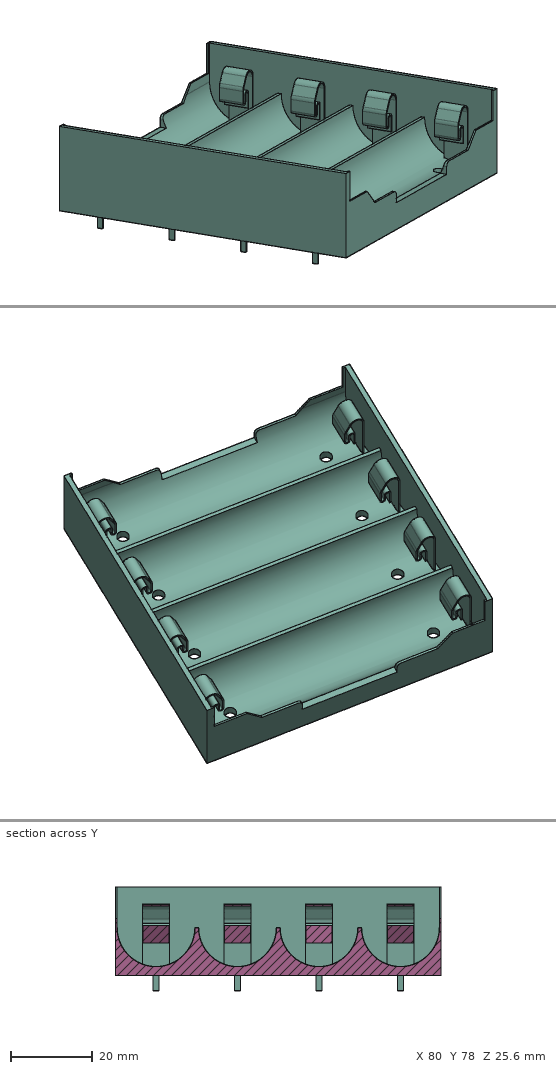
import cadquery as cq
import math

LENGTH_X = 80.0
LENGTH_Y = 78.0
WALL_HEIGHT = 21.8
END_WALL = 1.4
CELL_COUNT = 4
CELL_PITCH = LENGTH_X / CELL_COUNT
TROUGH_RADIUS = 9.5
TROUGH_FLOOR = 2.2
TROUGH_AXIS_Z = TROUGH_FLOOR + TROUGH_RADIUS
DIVIDER_HEIGHT = TROUGH_AXIS_Z
DRAIN_DIAMETER = 3.0
DRAIN_OFFSET = 27.8

SHOULDER_Z = 14.1
LEDGE_Z = 10.1
NOTCH_Z = 7.0
SHOULDER_OUTER_Y = 37.0
SHOULDER_INNER_Y = 28.1
LEDGE_OUTER_Y = 24.0
NOTCH_HALF_WIDTH = 13.0
NOTCH_ROUNDING = 1.2

STRIP_WIDTH = 6.6
STRIP_THICKNESS = 0.4
LEG_SETBACK = 2.7
LEG_Y = LENGTH_Y / 2 - LEG_SETBACK
ARCH_RADIUS = 1.8
ARCH_CENTER_Z = 15.5
RAMP_TILT = math.radians(28)
FACE_REACH = 5.0
BEND_RADIUS = 2.0
CURL_RADIUS = 0.6
CURL_CENTER_Z = 10.1
HOOK_RADIUS = 0.7
HOOK_CENTER_Z = 11.8
HOOK_END_Z = 8.0
PIN_WIDTH = 1.5
PIN_LENGTH = 3.8
PIN_TIP_ROUNDING = 0.3

CELL_XS = [(i - (CELL_COUNT - 1) / 2) * CELL_PITCH for i in range(CELL_COUNT)]
CAVITY_Y = LENGTH_Y - 2 * END_WALL


def box_on(z_bottom, size_x, size_y, size_z, y=0.0):
    """Box centred on X = 0 and the given Y, standing on z_bottom."""
    box = cq.Workplane("XY").box(size_x, size_y, size_z, centered=(True, True, False))
    return box.translate((0, y, z_bottom))


def make_trough():
    """Cell-shaped space: round bottom, straight sides, open at the top."""
    round_bottom = (
        cq.Workplane("XZ", origin=(0, CAVITY_Y / 2, TROUGH_AXIS_Z)).circle(TROUGH_RADIUS).extrude(CAVITY_Y)
    )
    return round_bottom.union(box_on(TROUGH_AXIS_Z, 2 * TROUGH_RADIUS, CAVITY_Y, WALL_HEIGHT))


def make_side_wall_opening():
    """Space above the stepped upper edge of a side wall, reaching half a cell to both sides of X = 0."""
    plus_y_edge = [
        (NOTCH_HALF_WIDTH + NOTCH_ROUNDING, LEDGE_Z),
        (LEDGE_OUTER_Y, LEDGE_Z),
        (SHOULDER_INNER_Y, SHOULDER_Z),
        (SHOULDER_OUTER_Y, SHOULDER_Z),
        (SHOULDER_OUTER_Y, WALL_HEIGHT),
    ]
    minus_y_edge = [(-y, z) for y, z in reversed(plus_y_edge)]
    rounding_end_z = LEDGE_Z - NOTCH_ROUNDING
    rounding_bulge = NOTCH_ROUNDING * (1 - math.sqrt(0.5))
    return (
        cq.Workplane("YZ")
        .moveTo(-NOTCH_HALF_WIDTH, NOTCH_Z)
        .lineTo(NOTCH_HALF_WIDTH, NOTCH_Z)
        .lineTo(NOTCH_HALF_WIDTH, rounding_end_z)
        .threePointArc((NOTCH_HALF_WIDTH + rounding_bulge, LEDGE_Z - rounding_bulge), plus_y_edge[0])
        .polyline(plus_y_edge[1:] + minus_y_edge, includeCurrent=True)
        .threePointArc(
            (-NOTCH_HALF_WIDTH - rounding_bulge, LEDGE_Z - rounding_bulge),
            (-NOTCH_HALF_WIDTH, rounding_end_z),
        )
        .close()
        .extrude(CELL_PITCH / 2, both=True)
    )


def make_contact_seat():
    """Recess in the trough floor for the leg of a contact, and the slot for its pin."""
    leg_recess = box_on(TROUGH_FLOOR, STRIP_WIDTH, STRIP_THICKNESS, TROUGH_RADIUS, LEG_Y)
    pin_slot = box_on(0, PIN_WIDTH, STRIP_THICKNESS, TROUGH_FLOOR, LEG_Y)
    return leg_recess.union(pin_slot)


def make_housing():
    body = box_on(0, LENGTH_X, LENGTH_Y, WALL_HEIGHT)
    divider_span = 2 * CELL_XS[-1]
    body = body.cut(box_on(DIVIDER_HEIGHT, divider_span, CAVITY_Y, WALL_HEIGHT))
    opening = make_side_wall_opening()
    for side in (-1, 1):
        body = body.cut(opening.translate((side * LENGTH_X / 2, 0, 0)))
    trough = make_trough()
    drain = cq.Workplane("XY").circle(DRAIN_DIAMETER / 2).extrude(TROUGH_AXIS_Z)
    seat = make_contact_seat()
    for x in CELL_XS:
        body = body.cut(trough.translate((x, 0, 0)))
        for turn in (0, 180):
            end_cut = seat.union(drain.translate((0, DRAIN_OFFSET, 0)))
            body = body.cut(end_cut.rotate((0, 0, 0), (0, 0, 1), turn).translate((x, 0, 0)))
    return body.solids()


def make_contact():
    """Contact for the +Y end of a trough at X = 0; it faces -Y."""
    sin_tilt = math.sin(RAMP_TILT)
    cos_tilt = math.cos(RAMP_TILT)
    arch_center_y = LEG_Y - ARCH_RADIUS
    arch_end = (arch_center_y - ARCH_RADIUS * cos_tilt, ARCH_CENTER_Z + ARCH_RADIUS * sin_tilt)
    face_y = LEG_Y - FACE_REACH
    ramp_end_y = face_y + BEND_RADIUS * (1 - cos_tilt)
    ramp_end_z = arch_end[1] - (arch_end[0] - ramp_end_y) / math.tan(RAMP_TILT)
    bend_end_z = ramp_end_z - BEND_RADIUS * sin_tilt
    hook_start_y = face_y + 2 * CURL_RADIUS
    hook_end_y = hook_start_y + 2 * HOOK_RADIUS
    path = (
        cq.Workplane("YZ")
        .moveTo(LEG_Y, TROUGH_FLOOR)
        .lineTo(LEG_Y, ARCH_CENTER_Z)
        .threePointArc((arch_center_y, ARCH_CENTER_Z + ARCH_RADIUS), arch_end)
        .lineTo(ramp_end_y, ramp_end_z)
        .tangentArcPoint((face_y, bend_end_z), relative=False)
        .lineTo(face_y, CURL_CENTER_Z)
        .threePointArc((face_y + CURL_RADIUS, CURL_CENTER_Z - CURL_RADIUS), (hook_start_y, CURL_CENTER_Z))
        .lineTo(hook_start_y, HOOK_CENTER_Z)
        .threePointArc((hook_start_y + HOOK_RADIUS, HOOK_CENTER_Z + HOOK_RADIUS), (hook_end_y, HOOK_CENTER_Z))
        .lineTo(hook_end_y, HOOK_END_Z)
    )
    strip = (
        cq.Workplane("XY", origin=(0, LEG_Y, TROUGH_FLOOR)).rect(STRIP_WIDTH, STRIP_THICKNESS).sweep(path)
    )
    pin = (
        box_on(-PIN_LENGTH, PIN_WIDTH, STRIP_THICKNESS, PIN_LENGTH + TROUGH_FLOOR, LEG_Y)
        .faces("<Z")
        .edges("|Y")
        .fillet(PIN_TIP_ROUNDING)
    )
    return strip.union(pin).solids()


housing = make_housing()

contact = make_contact()
contacts = [
    contact.rotate((0, 0, 0), (0, 0, 1), turn).translate((x, 0, 0)) for x in CELL_XS for turn in (0, 180)
]

result = cq.Compound.makeCompound([housing.val(), *[body.val() for body in contacts]])